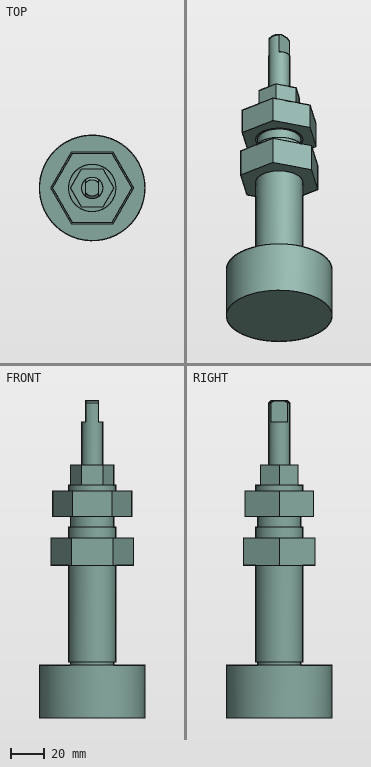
import cadquery as cq

total_height = 190.5
base_diameter = 63.5
base_height = 31.8

core_diameter = 26.1
small_hex_bottom = 139.8
small_hex_top = 152.0
small_hex_corners = core_diameter
shaft_diameter = 12.8
tip_length = 12.8
tip_thickness = 7.8
tip_chamfer_height = 1.3
tip_chamfer_width = 1.5

thread_diameter = 28.4
neck_height = 2.0
groove_bottom = 114.7
groove_top = 121.0

lower_nut = (49.7, 91.6, 108.2)
upper_nut = (47.6, groove_top, 136.4)


def cylinder(diameter, bottom, top):
    return cq.Workplane("XY").workplane(offset=bottom).circle(diameter / 2).extrude(top - bottom)


def hexagon(corners, bottom, top):
    """Hexagonal prism with two corners on the X axis."""
    return cq.Workplane("XY").workplane(offset=bottom).polygon(6, corners).extrude(top - bottom)


def make_shaft():
    """Round shaft with a chamfered end and two flats facing -X and +X."""
    shaft = cylinder(shaft_diameter, small_hex_top, total_height)
    shaft = shaft.faces(">Z").edges().chamfer(tip_chamfer_height, tip_chamfer_width)
    tip_bottom = total_height - tip_length
    tip_blank = (
        cq.Workplane("XY")
        .workplane(offset=tip_bottom)
        .rect(tip_thickness, shaft_diameter)
        .extrude(tip_length)
    )
    tip_waste = cylinder(shaft_diameter, tip_bottom, total_height).cut(tip_blank)
    return shaft.cut(tip_waste)


def make_body():
    base = cylinder(base_diameter, 0, base_height)
    core = cylinder(core_diameter, base_height, small_hex_bottom)
    lower_thread = cylinder(thread_diameter, base_height + neck_height, groove_bottom)
    upper_thread = cylinder(thread_diameter, groove_top, small_hex_bottom)
    small_hex = hexagon(small_hex_corners, small_hex_bottom, small_hex_top)
    return base.union(core).union(lower_thread).union(upper_thread).union(small_hex).union(make_shaft())


def make_nut(corners, bottom, top):
    bore = cylinder(thread_diameter, bottom, top)
    return hexagon(corners, bottom, top).cut(bore)


body = make_body()
nuts = [make_nut(*nut_sizes) for nut_sizes in (lower_nut, upper_nut)]

result = cq.Compound.makeCompound([body.val(), *[nut.val() for nut in nuts]])